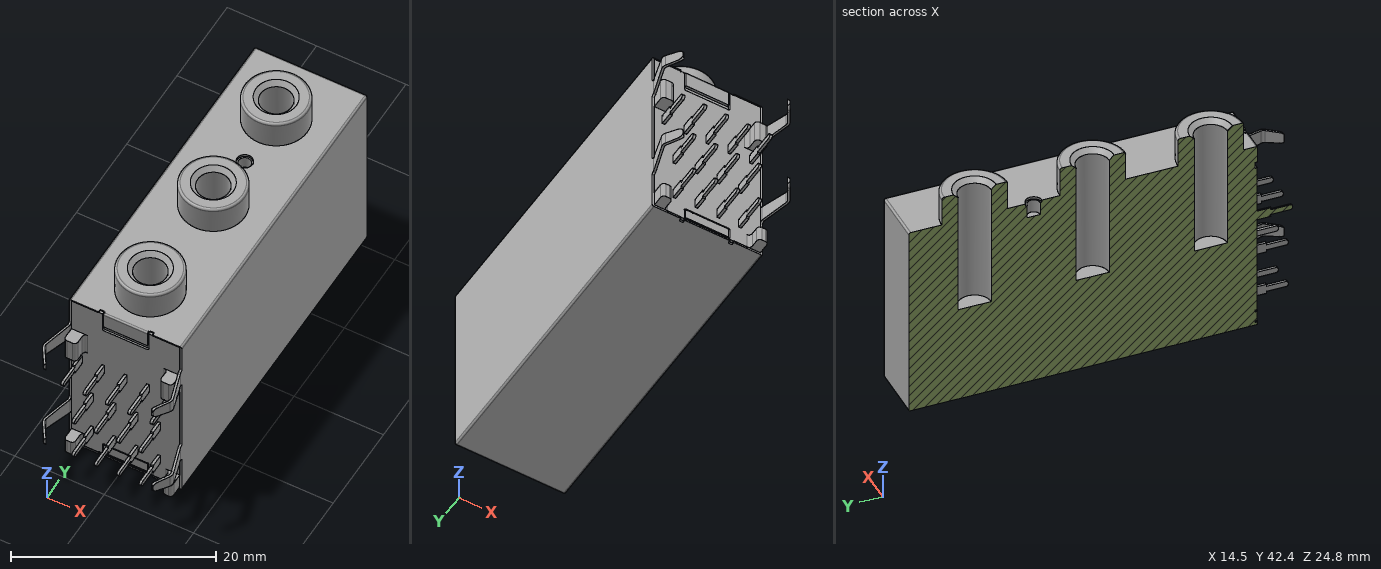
import cadquery as cq
import math


body_width = 12.65
body_length = 36.97
body_height = 21.55
sheet = 0.25
top_lip = 0.13
shell_edge_radius = 0.2
block_setback = 0.05

jack_pitch = 12.5
jack_count = 3
first_jack_y = 4.95
collar_diameter = 7.0
collar_height = 3.25
collar_round = 0.25
bore_radius = 1.75
bore_depth = 14
countersink = 0.5

lamp_y = first_jack_y + (jack_count - 1.5) * jack_pitch
lamp_hole_radius = 0.85
lamp_bore_radius = 0.68
lamp_depth = 1.7

pocket_width = 5.17
pocket_corner_radius = 0.15
pocket_gap = 0.13
tongue_width = pocket_width - 2 * pocket_gap
tongue_bend_radius = 0.15
top_pocket_height = 2.6
tongue_height = 1.95
plate_pocket_bottom = 0.4
plate_pocket_top = 1.8
relief_width = 6.0
relief_depth = 0.35

pin_pitch = 2.5
pin_row_pitch = 5.0
bottom_row_z = 3.2
pins_per_row = (4, 4, 5)
pin_thickness = 0.3
pin_root_height = 1.1
pin_root_length = 1.4
pin_tip_height = 0.65
pin_length = 3.75
pin_tip_radius = 0.3

peg_length = 1.53
peg_radius = 0.4
peg_outer_x = body_width / 2 - sheet
upper_peg_flank_x = 4.65
upper_peg_bottom = 14.55
upper_peg_top = 17.17
lower_peg_flank_x = 4.9
lower_peg_bottom = sheet
lower_peg_top = 2.08

clip_heights = (5.72, 17.0)
clip_root_length = 0.25
clip_root_half_height = 0.98
clip_tip_half_height = 0.6
clip_tip_radius = 0.5
clip_reach = 5.43
clip_bend_radius = 0.7
clip_outermost_x = 7.25
clip_bend_x = clip_outermost_x - clip_bend_radius
clip_bend_y = -3.45
clip_lean_in = math.radians(32.5)

overlap = 0.42


def box(x_range, y_range, z_range):
    """Box spanning the given (low, high) ranges."""
    size = [high - low for low, high in (x_range, y_range, z_range)]
    low_corner = (x_range[0], y_range[0], z_range[0])
    return cq.Workplane("XY").box(*size, centered=False).translate(low_corner)


def centred(width):
    return (-width / 2, width / 2)


def make_body():
    """Closed shell with rounded edges and the block showing at its open front."""
    body = box(centred(body_width), (0, body_length), (0, body_height))
    body = body.edges("not <Y").fillet(shell_edge_radius)
    opening = box(
        centred(body_width - 2 * sheet), (0, block_setback), (sheet, body_height - top_lip)
    )
    return body.cut(opening)


def cut_reliefs(body, z_range):
    """Cut the two small notches in the front edge of the shell's top or bottom."""
    for side in (-1, 1):
        edges = sorted((side * pocket_width / 2, side * relief_width / 2))
        body = body.cut(box(edges, (0, relief_depth), z_range))
    return body


def add_top_tongue(body):
    """Tongue folded down from the shell's top into a pocket in the block."""
    top = body_height
    pocket = box(centred(pocket_width), (0, sheet), (top - top_pocket_height, top))
    pocket = pocket.edges("|Y and <Z").fillet(pocket_corner_radius)
    tongue = box(centred(tongue_width), (0, relief_depth), (top - tongue_height, top))
    tongue = tongue.edges("|X and <Y and >Z").fillet(tongue_bend_radius)
    return cut_reliefs(body.cut(pocket), (top - top_lip, top)).union(tongue)


def add_bottom_plate(body):
    """Rectangular plate standing in a closed pocket just above the shell's bottom."""
    pocket = box(centred(pocket_width), (0, sheet), (plate_pocket_bottom, plate_pocket_top))
    pocket = pocket.edges("|Y").fillet(pocket_corner_radius)
    plate = box(
        centred(tongue_width),
        (block_setback, sheet),
        (plate_pocket_bottom + pocket_gap, plate_pocket_top - pocket_gap),
    )
    return cut_reliefs(body, (0, sheet)).cut(pocket.cut(plate))


def make_jack(y):
    """Return the collar of one jack and the countersunk bore to cut from it."""
    top = body_height + collar_height
    collar = (
        cq.Workplane("XY", origin=(0, y, body_height - overlap))
        .circle(collar_diameter / 2)
        .extrude(collar_height + overlap)
        .faces(">Z")
        .fillet(collar_round)
    )
    bore = (
        cq.Workplane("XZ", origin=(0, y, 0))
        .moveTo(0, top)
        .lineTo(bore_radius + countersink, top)
        .lineTo(bore_radius, top - countersink)
        .lineTo(bore_radius, top - bore_depth)
        .lineTo(0, top - bore_depth)
        .close()
        .revolve(360, (0, 0, 0), (0, 1, 0))
    )
    return collar, bore


def make_lamp_hole():
    """Hole through the shell with a narrower bore in the block under it."""
    start = cq.Workplane("XY", origin=(0, lamp_y, body_height))
    hole = start.circle(lamp_hole_radius).extrude(-sheet)
    bore = start.circle(lamp_bore_radius).extrude(-lamp_depth)
    return hole.union(bore)


def make_pin(x, z):
    """Flat pin with a wide root and a narrow rounded tip."""
    thickness = (x - pin_thickness / 2, x + pin_thickness / 2)
    root = box(
        thickness,
        (-pin_root_length, overlap),
        (z - pin_root_height / 2, z + pin_root_height / 2),
    )
    tip = box(
        thickness,
        (-pin_length, overlap),
        (z - pin_tip_height / 2, z + pin_tip_height / 2),
    )
    return root.union(tip.edges("|X and <Y").fillet(pin_tip_radius))


def make_peg(flank_x, bottom, top):
    """Peg on the +X side: rounded tip and a fillet where the inner flank meets the block."""
    r = peg_radius
    bulge = r * math.sqrt(0.5)
    root_y = block_setback
    return (
        cq.Workplane("XY", origin=(0, 0, bottom))
        .moveTo(peg_outer_x, overlap)
        .lineTo(peg_outer_x, r - peg_length)
        .threePointArc(
            (peg_outer_x - r + bulge, r - peg_length - bulge), (peg_outer_x - r, -peg_length)
        )
        .lineTo(flank_x + r, -peg_length)
        .threePointArc((flank_x + r - bulge, r - peg_length - bulge), (flank_x, r - peg_length))
        .lineTo(flank_x, root_y - r)
        .threePointArc((flank_x - r + bulge, root_y - r + bulge), (flank_x - r, root_y))
        .lineTo(flank_x - r, overlap)
        .close()
        .extrude(top - bottom)
    )


def make_clip(z):
    """Board clip on the +X side: its bent strip, trimmed to a tapered side outline."""
    outer_x = body_width / 2
    inner_x = outer_x - sheet
    inner_radius = clip_bend_radius - sheet

    root_to_bend_x = clip_bend_x - outer_x
    root_to_bend_y = -clip_root_length - clip_bend_y
    distance = math.hypot(root_to_bend_x, root_to_bend_y)
    lean_out = math.asin(clip_bend_radius / distance) + math.atan2(root_to_bend_x, root_to_bend_y)

    def on_bend(radius, angle):
        return (clip_bend_x + radius * math.cos(angle), clip_bend_y + radius * math.sin(angle))

    bend_end = on_bend(clip_bend_radius, -clip_lean_in)
    tip_length = (clip_reach + bend_end[1]) / math.cos(clip_lean_in)
    tip_x = -tip_length * math.sin(clip_lean_in)
    tip_y = -tip_length * math.cos(clip_lean_in)
    inner_bend_end = on_bend(inner_radius, -clip_lean_in)
    strip = (
        cq.Workplane("XY")
        .moveTo(outer_x, 0)
        .lineTo(outer_x, -clip_root_length)
        .lineTo(*on_bend(clip_bend_radius, lean_out))
        .threePointArc(on_bend(clip_bend_radius, 0), bend_end)
        .lineTo(bend_end[0] + tip_x, -clip_reach)
        .lineTo(inner_bend_end[0] + tip_x, inner_bend_end[1] + tip_y)
        .lineTo(*inner_bend_end)
        .threePointArc(on_bend(inner_radius, 0), on_bend(inner_radius, lean_out))
        .lineTo(inner_x, -clip_root_length)
        .lineTo(inner_x, 0)
        .close()
        .extrude(body_height)
    )

    flare = clip_root_length
    flare_bulge = flare * (1 - math.sqrt(0.5))
    root = clip_root_half_height
    tip = clip_tip_half_height
    outline = (
        cq.Workplane("YZ", origin=(0, 0, z))
        .moveTo(0, -root - flare)
        .threePointArc((-flare_bulge, -root - flare_bulge), (-flare, -root))
        .lineTo(-clip_reach, -tip)
        .lineTo(-clip_reach, tip)
        .lineTo(-flare, root)
        .threePointArc((-flare_bulge, root + flare_bulge), (0, root + flare))
        .close()
        .extrude(body_width)
        .edges("|X and <Y")
        .fillet(clip_tip_radius)
    )
    return strip.intersect(outline)


result = make_body()
result = add_top_tongue(result)
result = add_bottom_plate(result)

for index in range(jack_count):
    collar, bore = make_jack(first_jack_y + index * jack_pitch)
    result = result.union(collar).cut(bore)
result = result.cut(make_lamp_hole())

for row, count in enumerate(pins_per_row):
    for column in range(count):
        pin_x = (column - (count - 1) / 2) * pin_pitch
        result = result.union(make_pin(pin_x, bottom_row_z + row * pin_row_pitch))

side_pieces = [
    make_peg(upper_peg_flank_x, upper_peg_bottom, upper_peg_top),
    make_peg(lower_peg_flank_x, lower_peg_bottom, lower_peg_top),
]
side_pieces += [make_clip(z) for z in clip_heights]
for piece in side_pieces:
    result = result.union(piece).union(piece.mirror("YZ"))